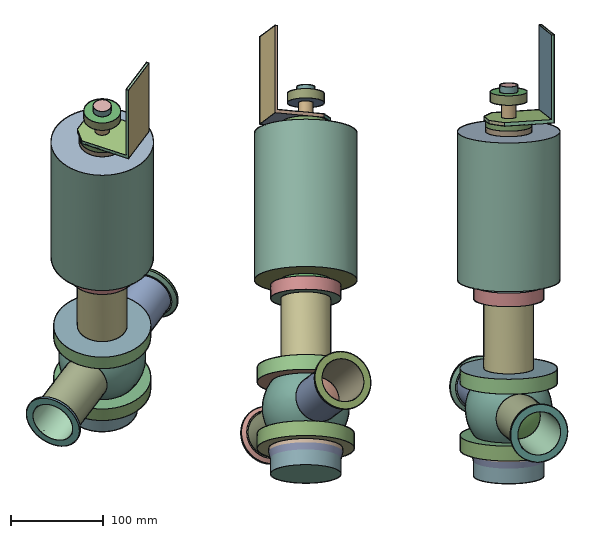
import cadquery as cq


ball_diameter = 94.0
flange_diameter = 105.0
flange_thickness = 16.5
flange_gap = 57.6
upper_flange_bottom = flange_gap / 2
lower_flange_bottom = -flange_gap / 2 - flange_thickness

pipe_span = 240.0
pipe_diameter = 50.8
pipe_bore = 47.8
ferrule_diameter = 64.0
ferrule_neck_diameter = 54.0
ferrule_rim = 2.8
ferrule_taper = 2.6

outlet_diameter = 76.3
outlet_shoulder_diameter = 80.0
outlet_shoulder_height = 4.5
outlet_taper_height = 7.5
outlet_height = 16.7

column_diameter = 54.0
collar_diameter = 76.0
collar_thickness = 15.0
collar_bottom = 122.3
actuator_diameter = 110.8
actuator_bottom = 143.0
actuator_height = 164.8
seat_diameter = 50.0
seat_height = 6.0

base_height = 6.0
bracket_width = seat_diameter
bracket_thickness = 4.0
bracket_corner = 15.0
bracket_corner_depth = 13.0
upright_thickness = 3.0
upright_outer_x = 44.0
upright_height = 97.9
stem_diameter = 16.0
stem_height = 17.5
knob_diameter = 40.0
knob_thickness = 10.5
cap_diameter = 19.5
cap_height = 7.5


def disc(diameter, bottom, height):
    """Vertical cylinder on the valve axis."""
    return cq.Workplane("XY").workplane(offset=bottom).circle(diameter / 2).extrude(height)


def make_pipes():
    """Outer shape of both pipes, revolved about the Y axis with a ferrule at each end."""
    end = pipe_span / 2
    taper_start = end - ferrule_rim
    half = (
        cq.Workplane("XY")
        .moveTo(0, 0)
        .lineTo(pipe_diameter / 2, 0)
        .lineTo(pipe_diameter / 2, taper_start - ferrule_taper)
        .lineTo(ferrule_neck_diameter / 2, taper_start - ferrule_taper)
        .lineTo(ferrule_diameter / 2, taper_start)
        .lineTo(ferrule_diameter / 2, end)
        .lineTo(0, end)
        .close()
        .revolve(360, (0, 0, 0), (0, 1, 0))
    )
    return half.union(half.mirror("XZ"))


def make_ball():
    """Solid ball with its poles on the pipe axis, so each bore ends on a round cap."""
    radius = ball_diameter / 2
    return (
        cq.Workplane("XY")
        .moveTo(0, -radius)
        .threePointArc((radius, 0), (0, radius))
        .close()
        .revolve(360, (0, 0, 0), (0, 1, 0))
    )


def make_outlet():
    """Shoulder, taper and plain spigot hanging from the lower flange."""
    shoulder_bottom = lower_flange_bottom - outlet_shoulder_height
    taper_bottom = shoulder_bottom - outlet_taper_height
    outlet_bottom = taper_bottom - outlet_height
    return (
        cq.Workplane("XZ")
        .moveTo(0, lower_flange_bottom)
        .lineTo(outlet_shoulder_diameter / 2, lower_flange_bottom)
        .lineTo(outlet_shoulder_diameter / 2, shoulder_bottom)
        .lineTo(outlet_diameter / 2, taper_bottom)
        .lineTo(outlet_diameter / 2, outlet_bottom)
        .lineTo(0, outlet_bottom)
        .close()
        .revolve(360, (0, 0, 0), (0, 1, 0))
    )


def make_valve():
    """Pipes, chamber, outlet, column and actuator as one body."""
    bores = cq.Workplane("XZ").circle(pipe_bore / 2).extrude(pipe_span / 2, both=True)
    column_bottom = upper_flange_bottom + flange_thickness
    seat_bottom = actuator_bottom + actuator_height
    return (
        make_pipes()
        .cut(bores)
        .union(make_ball())
        .union(disc(flange_diameter, lower_flange_bottom, flange_thickness))
        .union(disc(flange_diameter, upper_flange_bottom, flange_thickness))
        .union(make_outlet())
        .union(disc(column_diameter, column_bottom, actuator_bottom - column_bottom))
        .union(disc(collar_diameter, collar_bottom, collar_thickness))
        .union(disc(actuator_diameter, actuator_bottom, actuator_height))
        .union(disc(seat_diameter, seat_bottom, seat_height))
    )


def make_bracket(bottom):
    """Flat plate with two cut corners and an upright at its +X edge."""
    left = -bracket_width / 2
    side = bracket_width / 2
    front = side - bracket_corner
    plate = (
        cq.Workplane("XY")
        .workplane(offset=bottom)
        .moveTo(upright_outer_x, -side)
        .lineTo(upright_outer_x, side)
        .lineTo(left + bracket_corner_depth, side)
        .lineTo(left, front)
        .lineTo(left, -front)
        .lineTo(left + bracket_corner_depth, -side)
        .close()
        .extrude(bracket_thickness)
    )
    upright = (
        cq.Workplane("XY")
        .workplane(offset=bottom)
        .center(upright_outer_x - upright_thickness / 2, 0)
        .rect(upright_thickness, bracket_width)
        .extrude(upright_height)
    )
    return plate.union(upright)


def make_indicator():
    """Base disc resting on the actuator seat, carrying the bracket, stem and knob."""
    base_bottom = actuator_bottom + actuator_height + seat_height
    bracket_bottom = base_bottom + base_height
    stem_bottom = bracket_bottom + bracket_thickness
    knob_bottom = stem_bottom + stem_height
    cap_bottom = knob_bottom + knob_thickness
    return (
        disc(seat_diameter, base_bottom, base_height)
        .union(make_bracket(bracket_bottom))
        .union(disc(stem_diameter, stem_bottom, stem_height))
        .union(disc(knob_diameter, knob_bottom, knob_thickness))
        .union(disc(cap_diameter, cap_bottom, cap_height))
    )


valve = make_valve()
indicator = make_indicator()

result = cq.Compound.makeCompound([valve.val(), indicator.val()])